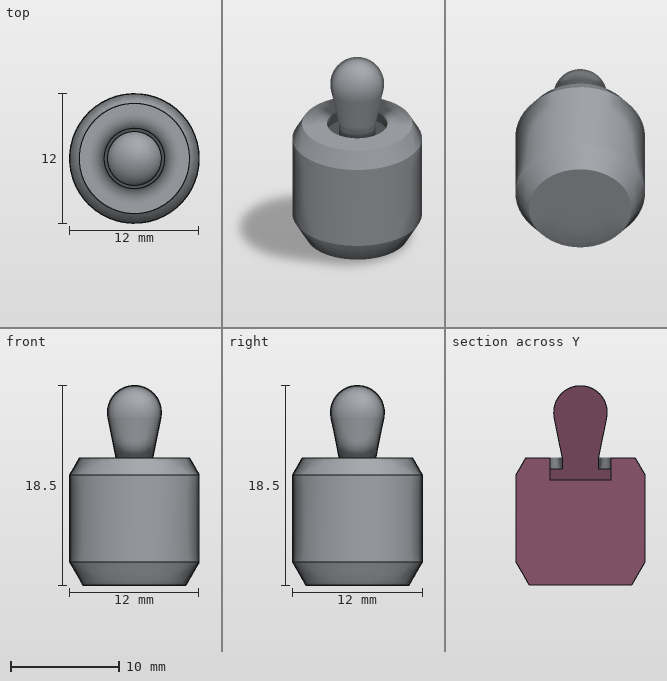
import cadquery as cq
import math

housing_radius = 6.0
housing_height = 11.8
bevel_angle = math.radians(30)
top_bevel_width = 0.9
bottom_bevel_width = 1.25
top_bevel_height = top_bevel_width / math.tan(bevel_angle)
bottom_bevel_height = bottom_bevel_width / math.tan(bevel_angle)

bore_radius = 2.8
recess_depth = 1.0
foot_thickness = 1.0
foot_top = housing_height - recess_depth
bore_floor = foot_top - foot_thickness

total_height = 18.5
ball_radius = 2.5
ball_center = total_height - ball_radius
neck_radius = 1.7
neck_top = housing_height
shank_top_drop = 0.5
shank_top = ball_center - shank_top_drop
shank_top_radius = math.sqrt(ball_radius**2 - shank_top_drop**2)


def make_housing():
    """Turned body, bevelled at both ends, with the bore in its top face."""
    return (
        cq.Workplane("XZ")
        .moveTo(0, 0)
        .lineTo(housing_radius - bottom_bevel_width, 0)
        .lineTo(housing_radius, bottom_bevel_height)
        .lineTo(housing_radius, housing_height - top_bevel_height)
        .lineTo(housing_radius - top_bevel_width, housing_height)
        .lineTo(bore_radius, housing_height)
        .lineTo(bore_radius, bore_floor)
        .lineTo(0, bore_floor)
        .close()
        .revolve(360, (0, 0, 0), (0, 1, 0))
    )


def make_pin():
    """Turned pin whose disc-shaped foot sits on the bore floor and fits the bore wall."""
    return (
        cq.Workplane("XZ")
        .moveTo(0, bore_floor)
        .lineTo(bore_radius, bore_floor)
        .lineTo(bore_radius, foot_top)
        .lineTo(neck_radius, foot_top)
        .lineTo(neck_radius, neck_top)
        .lineTo(shank_top_radius, shank_top)
        .threePointArc((ball_radius, ball_center), (0, total_height))
        .close()
        .revolve(360, (0, 0, 0), (0, 1, 0))
    )


housing = make_housing()
pin = make_pin()

result = cq.Compound.makeCompound([housing.val(), pin.val()])